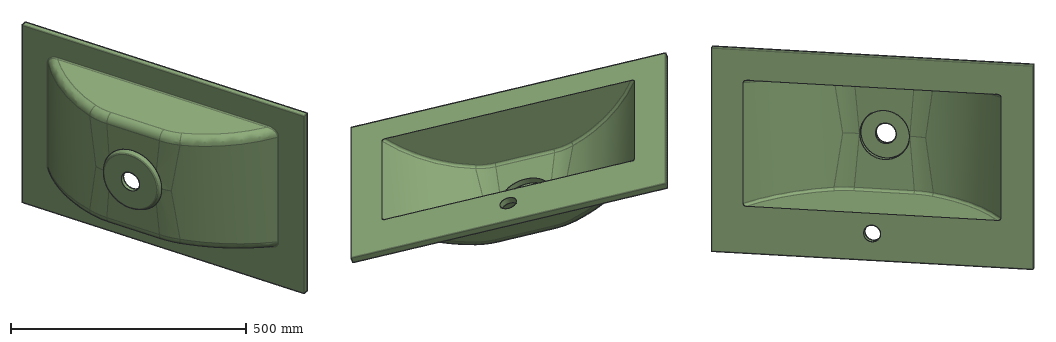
import cadquery as cq

plate_width = 700
plate_height = 450.0
plate_thickness = 15.0
plate_edge_radius = 1.5

basin_centre_z = 18.0
basin_half_width = 285.5
basin_half_height = 150.5
basin_depth = 127.0
wall = 13.0
end_wall_draft = 0.12
end_depth = 123.0
sweep_depth = 134.0
sweep_radius = (basin_half_width**2 + sweep_depth**2) / (2 * sweep_depth)
outer_edge_radius = 19.5
crease_radius = 154
inner_edge_radius = outer_edge_radius - wall
foot_radius = 3.0

total_depth = 150.0
boss_front_y = plate_thickness - total_depth
boss_radius = 67.0
boss_foot_radius = 73.5
boss_foot_overlap = 3.5
boss_foot_y = boss_foot_overlap - basin_depth
boss_edge_radius = 3.0
drain_radius = 22.5
drain_floor = 10.0
recess_radius = boss_radius - wall
tap_hole_radius = 18.0
tap_hole_z = -165.0

pick_margin = 1.0


def basin_volume(inset, edge_radius):
    """Basin body inside its walls by inset, running past the back of the plate."""
    open_y = plate_thickness + 2 * wall
    plan = cq.Workplane("XY", origin=(0, sweep_radius - sweep_depth, basin_centre_z)).circle(
        sweep_radius - inset
    )

    open_half_height = basin_half_height + end_wall_draft * open_y
    end_half_height = basin_half_height - end_wall_draft * end_depth
    section = cq.Workplane("YZ", origin=(0, 0, basin_centre_z)).polyline(
        [
            (open_y, open_half_height),
            (-end_depth, end_half_height),
            (-basin_depth, 0),
            (-end_depth, -end_half_height),
            (open_y, -open_half_height),
        ]
    ).close()

    if inset:
        section = section.offset2D(-inset)
    body = plan.extrude(plate_height, both=True).intersect(section.extrude(plate_width, both=True))
    ridge_min = (-pick_margin, -total_depth, -plate_height)
    ridge_max = (pick_margin, 0, plate_height)
    floor_creases = cq.selectors.BoxSelector(
        (-basin_half_width / 2, -total_depth, basin_centre_z - basin_half_height / 2),
        (basin_half_width / 2, inset - end_depth + pick_margin, basin_centre_z + basin_half_height / 2),
    ) - cq.selectors.BoxSelector(ridge_min, ridge_max)
    body = body.edges(floor_creases).fillet(crease_radius - inset)

    long_edges = cq.selectors.BoxSelector(
        (-plate_width, -total_depth, basin_centre_z + basin_half_height / 2),
        (plate_width, open_y - inset - pick_margin, plate_height),
    ) + cq.selectors.BoxSelector(
        (-plate_width, -total_depth, -plate_height),
        (plate_width, open_y - inset - pick_margin, basin_centre_z - basin_half_height / 2),
    )
    return body.edges(long_edges).fillet(edge_radius)


def cylinder_along_y(radius, z, start_y, end_y):
    base = cq.Workplane("XZ", origin=(0, end_y, z))
    return base.circle(radius).extrude(end_y - start_y)


plate = (
    cq.Workplane("XY")
    .box(plate_width, plate_thickness, plate_height)
    .translate((0, plate_thickness / 2, 0))
    .edges()
    .fillet(plate_edge_radius)
)

in_front_of_plate_middle = (
    cq.Workplane("XY")
    .box(plate_width, 2 * total_depth, plate_height)
    .translate((0, plate_thickness / 2 - total_depth, 0))
)
basin = basin_volume(0, outer_edge_radius).intersect(in_front_of_plate_middle)
body = plate.union(basin)
foot_half_x = plate_width / 2 - plate_thickness
foot_half_z = plate_height / 2 - plate_thickness
foot_edges = cq.selectors.BoxSelector(
    (-foot_half_x, -pick_margin, -foot_half_z),
    (foot_half_x, pick_margin, foot_half_z),
)
body = body.edges(foot_edges).fillet(foot_radius)

boss = (
    cq.Workplane("XZ", origin=(0, boss_foot_y, basin_centre_z))
    .circle(boss_foot_radius)
    .workplane(offset=boss_foot_y - boss_front_y)
    .circle(boss_radius)
    .loft()
    .faces("<Y")
    .edges()
    .fillet(boss_edge_radius)
)
hollow = basin_volume(wall, inner_edge_radius)
recess = cylinder_along_y(recess_radius, basin_centre_z, boss_front_y + drain_floor, 0)
drain = cylinder_along_y(drain_radius, basin_centre_z, boss_front_y, 0)
tap_hole = cylinder_along_y(tap_hole_radius, tap_hole_z, 0, plate_thickness)

result = body.union(boss).cut(hollow).cut(recess).cut(drain).cut(tap_hole)